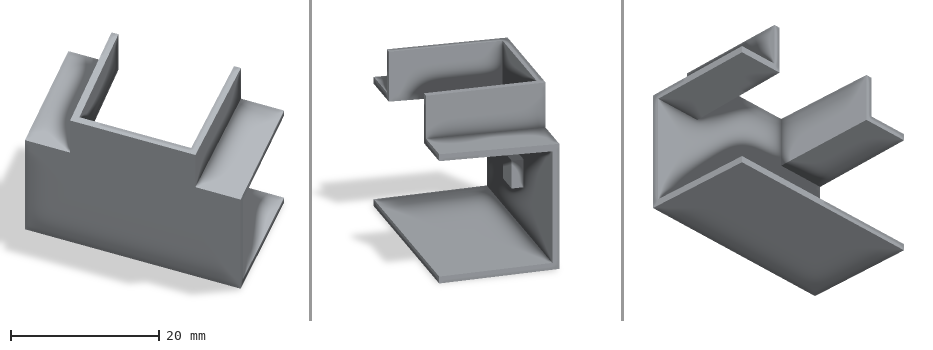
import cadquery as cq
import math

run_length = 31.0
depth = 16.9
height = 24.8
rim_width = 18.6
wall = 1.0
draft_angle = 1.0

block_side = 4.0
block_height = 1.7

run_axis_z = rim_width / 2
cutter_overrun = 0.3


def half_width(y):
    """Outer half width of a channel at distance y behind the face."""
    return rim_width / 2 - (depth - y) * math.tan(math.radians(draft_angle))


def channel_section(y_start, y_end, inset):
    """Corners (across, y) of a flared channel section, its sides moved inward by inset."""
    start = half_width(y_start) - inset
    end = half_width(y_end) - inset
    return [(-start, y_start), (start, y_start), (end, y_end), (-end, y_end)]


def tee(y_start, y_end, inset, overrun):
    """Solid tee: the run and the branch share one section; open ends extend by overrun."""
    section = channel_section(y_start, y_end, inset)
    run_section = [(y, run_axis_z + across) for across, y in section]
    run = (
        cq.Workplane("YZ")
        .polyline(run_section)
        .close()
        .extrude(run_length / 2 + overrun, both=True)
    )
    branch = (
        cq.Workplane("XY", origin=(0, 0, run_axis_z))
        .polyline(section)
        .close()
        .extrude(height - run_axis_z + overrun)
    )
    return run.union(branch)


def locating_block():
    """Square block standing on the inner side of the face plate."""
    return cq.Workplane("XY").box(
        block_side, wall + block_height, block_side, centered=(True, False, True)
    ).translate((0, 0, run_axis_z))


outer_tee = tee(0, depth, 0, 0)
inner_tee = tee(wall, depth + cutter_overrun, wall, cutter_overrun)

result = outer_tee.cut(inner_tee).union(locating_block())